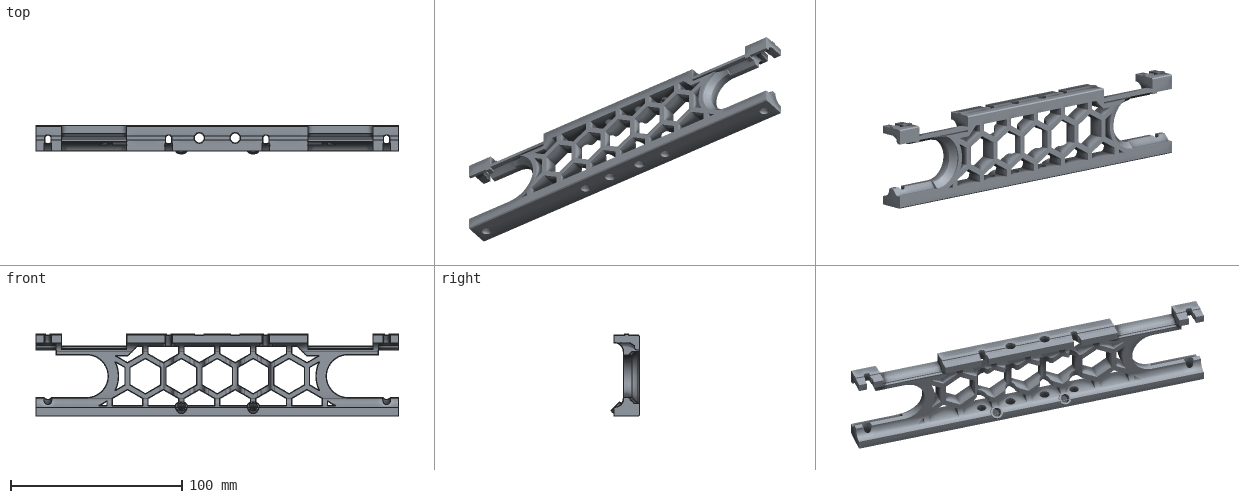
import cadquery as cq
import math

length = 212.0
depth = 15.0
half_length = length / 2
body_height = 47.3
edge_chamfer = 0.6

web_front = 5.5
channel_radius = 5.0
channel_y = web_front - channel_radius
lower_channel_z = 10.2
upper_channel_z = 37.7
upper_bar_underside = upper_channel_z + channel_radius

center_bar_end = 53.0
web_end = 76.3
thin_rail_end = 94.1
end_block_start = 91.0

thin_rail_bottom = 35.8
thin_rail_lip_z = 38.8
thin_rail_step_z = 39.5
thin_rail_top = 41.0
thin_step_y = 7.0
thin_slope_front = 8.3
thin_slope_back = 10.2

rear_step_y = 12.0
rear_slope_y = 8.7
lower_rear_z = 7.2
lower_rail_top = 10.8
upper_rear_z = 39.0

leg_bottom = 38.5
leg_chamfer = 1.0
leg_shoulder_z = 41.1
leg_shoulder_y = 9.1

ridge_front = 6.4
ridge_back = 8.7
ridge_height = 0.6
top_z = body_height + ridge_height

arch_z = (lower_rail_top + thin_rail_bottom) / 2
arch_radius = (thin_rail_bottom - lower_rail_top) / 2
arch_band_radius = 18.7
flare_front = 10.5
flare_back = 14.0
flare_radius = arch_radius + flare_back - flare_front

cell_pitch = 21.0
cell_width = 17.8
cell_diameter = cell_width / math.cos(math.pi / 6)
row_pitch = cell_pitch * math.cos(math.pi / 6)
cells_per_half = 3
window_bottom = 6.1
window_top = 40.7
corner_bottom = 35.2
corner_start = 52.4

screw_x = cell_pitch / 2
screw_y = 7.6
screw_radius = 3.0
slot_positions = (28.5, 99.0)
slot_hole_y = 7.0
slot_hole_radius = 2.8
slot_width = 4.5
slot_neck_width = 3.5
slot_neck_front = 4.2
slot_neck_back = 9.3
mouth_round = 2.3
relief_width = 7.6
relief_top = 42.2

socket_x = cell_pitch
socket_y = 0.8
socket_z = 5.7
socket_radius = 3.5
socket_length = 4.2
socket_bore_radius = 2.5
socket_bore_depth = 5.3


def prism_x(profile, x_start, x_end):
    """Extrude a Y-Z profile between two X positions."""
    return profile.extrude(x_end - x_start).translate((x_start, 0, 0))


def mirrored(solid):
    """Return the solid together with its mirror image across X = 0."""
    return solid.union(solid.mirror("YZ"))


def block(x_range, y_range, z_range):
    """Box given by its limits along each axis."""
    size = [high - low for low, high in (x_range, y_range, z_range)]
    corner = (x_range[0], y_range[0], z_range[0])
    return cq.Workplane("XY").box(*size, centered=False).translate(corner)


def cylinder_z(x, y, radius, z_bottom, z_top):
    return cq.Workplane("XY", origin=(x, y, z_bottom)).circle(radius).extrude(z_top - z_bottom)


def channel_point(angle, center_z):
    """Point on a front channel surface at an angle from the +Y direction."""
    angle = math.radians(angle)
    return (channel_y + channel_radius * math.cos(angle), center_z + channel_radius * math.sin(angle))


def lower_rail():
    profile = (
        cq.Workplane("YZ")
        .moveTo(0, 0)
        .lineTo(depth, 0)
        .lineTo(depth, lower_rear_z)
        .lineTo(rear_step_y, lower_rear_z)
        .lineTo(rear_slope_y, lower_rail_top)
        .lineTo(web_front, lower_rail_top)
        .lineTo(web_front, lower_channel_z)
        .threePointArc(channel_point(-45, lower_channel_z), channel_point(-90, lower_channel_z))
        .lineTo(0, lower_channel_z - channel_radius)
        .close()
    )
    return prism_x(profile, -half_length, half_length)


def upper_bar(x_start, x_end):
    profile = (
        cq.Workplane("YZ")
        .moveTo(web_front, upper_channel_z)
        .threePointArc(channel_point(45, upper_channel_z), channel_point(90, upper_channel_z))
        .lineTo(0, upper_bar_underside)
        .lineTo(0, body_height)
        .lineTo(depth, body_height)
        .lineTo(depth, upper_channel_z)
        .close()
    )
    return prism_x(profile, x_start, x_end)


def thin_rail():
    lip_angle = math.degrees(math.asin((thin_rail_lip_z - upper_channel_z) / channel_radius))
    arc_middle = channel_point(lip_angle / 2, upper_channel_z)
    arc_end = channel_point(lip_angle, upper_channel_z)
    profile = (
        cq.Workplane("YZ")
        .moveTo(web_front, thin_rail_bottom)
        .lineTo(web_front, upper_channel_z)
        .threePointArc(arc_middle, arc_end)
        .lineTo(thin_step_y, thin_rail_lip_z)
        .lineTo(thin_step_y, thin_rail_step_z)
        .lineTo(thin_slope_front, thin_rail_step_z)
        .lineTo(thin_slope_back, thin_rail_top)
        .lineTo(depth, thin_rail_top)
        .lineTo(depth, upper_rear_z)
        .lineTo(rear_step_y, upper_rear_z)
        .lineTo(rear_slope_y, thin_rail_bottom)
        .close()
    )
    return prism_x(profile, -thin_rail_end, -center_bar_end)


def end_block():
    profile = (
        cq.Workplane("YZ")
        .moveTo(0, upper_bar_underside)
        .lineTo(0, body_height)
        .lineTo(depth, body_height)
        .lineTo(depth, leg_bottom)
        .lineTo(rear_step_y + leg_chamfer, leg_bottom)
        .lineTo(rear_step_y, leg_bottom + leg_chamfer)
        .lineTo(rear_step_y, leg_shoulder_z)
        .lineTo(leg_shoulder_y, upper_bar_underside)
        .close()
    )
    return prism_x(profile, -half_length, -end_block_start)


def ridge(x_start, x_end):
    return block((x_start, x_end), (ridge_front, ridge_back), (body_height, top_z))


def arch_opening():
    """Round opening at the left end of the web with a 45 degree flare at the back."""
    cutter = (
        cq.Workplane("XY")
        .moveTo(0, 0)
        .lineTo(arch_radius, 0)
        .lineTo(arch_radius, flare_front)
        .lineTo(flare_radius, flare_back)
        .lineTo(flare_radius, depth)
        .lineTo(0, depth)
        .close()
        .revolve(360, (0, 0, 0), (0, 1, 0))
        .translate((-web_end, 0, arch_z))
    )
    web_side = block((-web_end, 0), (web_front, depth), (0, body_height))
    return cutter.intersect(web_side)


def honeycomb_windows():
    """Hexagonal cells, kept clear of the arch bands and the upper rail corners."""
    centers = [(i * cell_pitch, arch_z) for i in range(-cells_per_half, cells_per_half + 1)]
    for i in range(-cells_per_half - 1, cells_per_half + 1):
        for side in (-1, 1):
            centers.append(((i + 0.5) * cell_pitch, arch_z + side * row_pitch))
    cells = cq.Workplane("XY")
    for x, z in centers:
        cell = cq.Workplane("XZ").polygon(6, cell_diameter).extrude(-depth)
        cells = cells.add(cell.rotate((0, 0, 0), (0, 1, 0), 30).translate((x, 0, z)))
    cells = cells.combine()
    band = (
        cq.Workplane("XZ", origin=(-web_end, 0, arch_z))
        .circle(arch_band_radius)
        .extrude(-depth)
    )
    rise = window_top - corner_bottom
    corner = (
        cq.Workplane("XZ")
        .moveTo(-web_end, corner_bottom)
        .lineTo(-corner_start, corner_bottom)
        .lineTo(-corner_start + rise, window_top)
        .lineTo(-web_end, window_top)
        .close()
        .extrude(-depth)
    )
    limits = block((-web_end, web_end), (0, depth), (window_bottom, window_top))
    return cells.intersect(limits).cut(mirrored(band)).cut(mirrored(corner))


def hole_mouth(x, hole_y, hole_radius):
    """Opening from the web front into a vertical hole, with rounded shoulders tangent to both."""
    shoulder_y = web_front + mouth_round
    reach = hole_radius + mouth_round
    half_width = math.sqrt(reach**2 - (shoulder_y - hole_y) ** 2)
    tangent_x = half_width * hole_radius / reach
    tangent_y = hole_y + (shoulder_y - hole_y) * hole_radius / reach
    middle_angle = (math.asin((shoulder_y - hole_y) / reach) + math.pi / 2) / 2
    middle_x = half_width - mouth_round * math.cos(middle_angle)
    middle_y = shoulder_y - mouth_round * math.sin(middle_angle)
    mouth = (
        cq.Workplane("XY", origin=(x, 0, lower_channel_z))
        .moveTo(-half_width, web_front)
        .threePointArc((-middle_x, middle_y), (-tangent_x, tangent_y))
        .lineTo(tangent_x, tangent_y)
        .threePointArc((middle_x, middle_y), (half_width, web_front))
        .close()
        .extrude(window_top - lower_channel_z)
    )
    return mouth.union(cylinder_z(x, hole_y, hole_radius, 0, window_top))


def screw_hole():
    shaft = cylinder_z(-screw_x, screw_y, screw_radius, 0, top_z)
    return shaft.union(hole_mouth(-screw_x, screw_y, screw_radius))


def bar_slot(x):
    """Slot open to the front of the upper bar, stepping in to a round-ended neck."""
    neck_radius = slot_neck_width / 2
    neck_center = slot_neck_back - neck_radius
    z_range = (upper_channel_z, top_z)
    slot = block((x - slot_width / 2, x + slot_width / 2), (0, slot_neck_front), z_range)
    neck = block((x - neck_radius, x + neck_radius), (slot_neck_front, neck_center), z_range)
    return slot.union(neck).union(cylinder_z(x, neck_center, neck_radius, *z_range))


def slot_holes():
    inner_x, outer_x = slot_positions
    holes = hole_mouth(-inner_x, slot_hole_y, slot_hole_radius)
    relief_x = (-inner_x - relief_width / 2, -inner_x + relief_width / 2)
    holes = holes.union(block(relief_x, (0, slot_hole_y), (window_top, relief_top)))
    holes = holes.union(cylinder_z(-outer_x, slot_hole_y, slot_hole_radius, 0, lower_rail_top))
    for x in slot_positions:
        holes = holes.union(bar_slot(-x))
    return holes


def socket_cylinder(radius, socket_depth):
    plane = cq.Plane(origin=(-socket_x, socket_y, socket_z), xDir=(1, 0, 0), normal=(0, 1, -1))
    return cq.Workplane(plane).circle(radius).extrude(socket_depth)


web = block((-web_end, web_end), (web_front, depth), (0, upper_channel_z))
body = lower_rail().union(web.cut(mirrored(arch_opening())))
body = body.union(mirrored(thin_rail()))
body = body.union(mirrored(end_block()))
body = body.union(upper_bar(-center_bar_end, center_bar_end))
body = body.union(mirrored(upper_bar(-thin_rail_end, -end_block_start)))

body = body.edges("|X and >Y").edges("<Z or >Z").chamfer(edge_chamfer)

body = body.union(ridge(-center_bar_end, center_bar_end))
body = body.union(mirrored(ridge(-half_length, -end_block_start)))
body = body.cut(honeycomb_windows())
body = body.cut(mirrored(screw_hole())).cut(mirrored(slot_holes()))
body = body.union(mirrored(socket_cylinder(socket_radius, socket_length)))
result = body.cut(mirrored(socket_cylinder(socket_bore_radius, socket_bore_depth)))